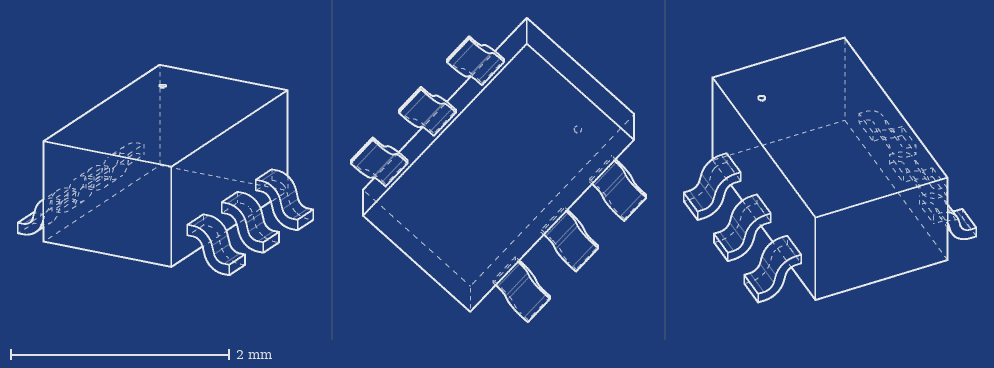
import cadquery as cq
import math

span_x = 2.21
housing_width = 1.337
housing_length = 2.21
overall_height = 1.09

lead_thickness = 0.104
lead_width = 0.3
lead_pitch = 0.65
leads_per_side = 3
lead_top = 0.415
shoulder_length = 0.055
bend_angle = math.radians(75)

mark_diameter = 0.066
mark_depth = 0.01
mark_inset = 0.283

housing_bottom = lead_thickness
housing_height = overall_height - housing_bottom
mark_x = -housing_width / 2 + mark_inset
mark_y = lead_pitch

lead_drop = lead_top - lead_thickness
inner_radius = (lead_drop - lead_thickness) / 2
outer_radius = inner_radius + lead_thickness
bend_run = lead_drop / math.sin(bend_angle)


def make_mark():
    return (
        cq.Workplane("XY", origin=(mark_x, mark_y, overall_height - mark_depth))
        .circle(mark_diameter / 2)
        .extrude(mark_depth)
    )


def make_housing(mark):
    block = (
        cq.Workplane("XY", origin=(0, 0, housing_bottom))
        .rect(housing_width, housing_length)
        .extrude(housing_height)
    )
    return block.cut(mark)


def make_right_lead(y_center):
    """Lead on the +X side: shoulder, downward bend, sloping leg, upward bend and foot."""
    root_x = housing_width / 2
    toe_x = span_x / 2
    upper_x = root_x + shoulder_length
    upper_z = lead_top - outer_radius
    lower_x = upper_x + bend_run
    lower_z = outer_radius

    def upper_point(radius, angle):
        return (upper_x + radius * math.sin(angle), upper_z + radius * math.cos(angle))

    def lower_point(radius, angle):
        return (lower_x - radius * math.sin(angle), lower_z - radius * math.cos(angle))

    half_bend = bend_angle / 2
    profile = (
        cq.Workplane("XZ", origin=(0, y_center, 0))
        .moveTo(root_x, lead_top)
        .lineTo(upper_x, lead_top)
        .threePointArc(upper_point(outer_radius, half_bend), upper_point(outer_radius, bend_angle))
        .lineTo(*lower_point(inner_radius, bend_angle))
        .threePointArc(lower_point(inner_radius, half_bend), lower_point(inner_radius, 0))
        .lineTo(toe_x, lead_thickness)
        .lineTo(toe_x, 0)
        .lineTo(lower_x, 0)
        .threePointArc(lower_point(outer_radius, half_bend), lower_point(outer_radius, bend_angle))
        .lineTo(*upper_point(inner_radius, bend_angle))
        .threePointArc(upper_point(inner_radius, half_bend), upper_point(inner_radius, 0))
        .lineTo(root_x, lead_top - lead_thickness)
        .close()
    )
    return profile.extrude(lead_width / 2, both=True)


mark = make_mark()
housing = make_housing(mark)

leads = []
for index in range(leads_per_side):
    y_center = (index - (leads_per_side - 1) / 2) * lead_pitch
    right_lead = make_right_lead(y_center)
    left_lead = right_lead.mirror("YZ")
    leads += [right_lead.val(), left_lead.val()]

result = cq.Compound.makeCompound([housing.val(), mark.val(), *leads])